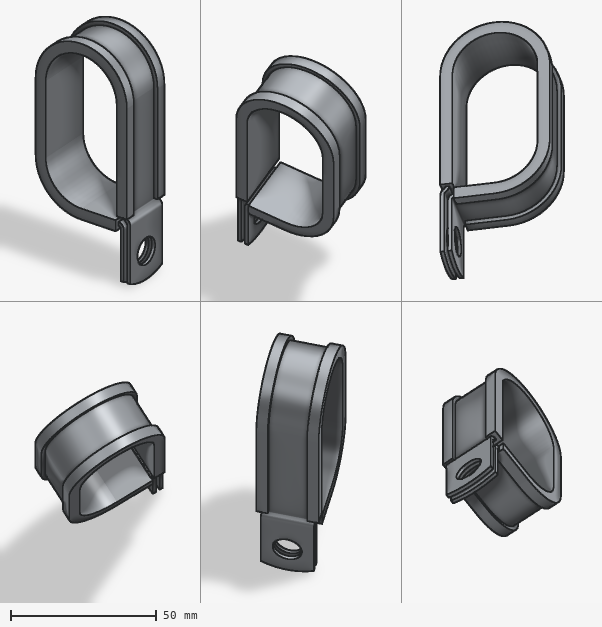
import cadquery as cq
import math

total_height = 90.7
loop_width = 38.75
loop_depth = 22.1
loop_bottom = 22.0
liner_thickness = 4.4
right_leg_end = 28.0
bottom_leg_end = 33.9

channel_width = 14.0
channel_depth = 1.5

strap_thickness = 1.4
strap_width = 18.9
outer_tab_face = 39.0
inner_tab_face = 36.3
embed_length = 2.7
outer_bend_radius = 2.4
jog_top = 27.7
tip_height = 2.1
hole_diameter = 10.3
hole_height = 11.1

loop_radius = loop_width / 2
upper_center_z = total_height - loop_radius
lower_center_z = loop_bottom + loop_radius
strap_face_x = loop_width - channel_depth
strap_face_z = loop_bottom + channel_depth
inner_bend_radius = outer_bend_radius - strap_thickness


def loop_face(inset):
    """Filled loop outline moved inward, open towards the lower right corner."""
    radius = loop_radius - inset
    left = inset
    right = loop_width - inset
    bottom = loop_bottom + inset
    arc_reach = radius * math.sqrt(0.5)
    return (
        cq.Workplane("XZ")
        .moveTo(right, bottom)
        .lineTo(right, upper_center_z)
        .threePointArc((loop_radius, upper_center_z + radius), (left, upper_center_z))
        .lineTo(left, lower_center_z)
        .threePointArc(
            (loop_radius - arc_reach, lower_center_z - arc_reach), (loop_radius, bottom)
        )
        .close()
    )


def loop_band(outer_inset, depth):
    """Liner band between an outer inset and the loop's inner wall."""
    outside = loop_face(outer_inset).extrude(depth / 2, both=True)
    inside = loop_face(liner_thickness).extrude(depth / 2, both=True)
    return outside.cut(inside)


def corner_opening():
    """Gap separating the ends of the right and bottom legs."""
    return (
        cq.Workplane("XZ")
        .moveTo(bottom_leg_end, loop_bottom)
        .lineTo(loop_width, loop_bottom)
        .lineTo(loop_width, right_leg_end)
        .lineTo(bottom_leg_end, right_leg_end)
        .close()
        .extrude(loop_depth / 2, both=True)
    )


def liner():
    channel = loop_band(0, channel_width).cut(loop_band(channel_depth, channel_width))
    return loop_band(0, loop_depth).cut(channel).cut(corner_opening())


def outer_tab():
    """Tab below the right leg, stepped outward by a 45 degree jog."""
    step = outer_tab_face - strap_face_x
    miter = strap_thickness * math.tan(math.radians(22.5))
    jog_bottom = jog_top - step
    leg_top = right_leg_end + embed_length
    strap_back_x = strap_face_x - strap_thickness
    tab_back_x = outer_tab_face - strap_thickness
    front_points = [
        (strap_face_x, leg_top),
        (strap_face_x, jog_top),
        (outer_tab_face, jog_bottom),
        (outer_tab_face, 0),
    ]
    back_points = [
        (tab_back_x, 0),
        (tab_back_x, jog_bottom - miter),
        (strap_back_x, jog_top - miter),
        (strap_back_x, leg_top),
    ]
    tab = (
        cq.Workplane("XZ")
        .polyline(front_points + back_points)
        .close()
        .extrude(strap_width / 2, both=True)
    )
    convex_corners = [(outer_tab_face, jog_bottom), (strap_back_x, jog_top - miter)]
    concave_corners = [(strap_face_x, jog_top), (tab_back_x, jog_bottom - miter)]
    for corners, radius in (
        (convex_corners, outer_bend_radius),
        (concave_corners, inner_bend_radius),
    ):
        for x, z in corners:
            corner_edge = cq.selectors.NearestToPointSelector((x, 0, z))
            tab = tab.edges("|Y").edges(corner_edge).fillet(radius)
    return tab



def inner_tab():
    """Tab at the end of the bottom leg, bent down through a rounded quarter turn."""
    top = strap_face_z + strap_thickness
    bend_x = inner_tab_face - outer_bend_radius
    bend_z = top - outer_bend_radius
    diagonal = math.sqrt(0.5)
    start_x = bottom_leg_end - embed_length
    return (
        cq.Workplane("XZ")
        .moveTo(start_x, top)
        .lineTo(bend_x, top)
        .threePointArc(
            (bend_x + outer_bend_radius * diagonal, bend_z + outer_bend_radius * diagonal),
            (inner_tab_face, bend_z),
        )
        .lineTo(inner_tab_face, 0)
        .lineTo(inner_tab_face - strap_thickness, 0)
        .lineTo(inner_tab_face - strap_thickness, bend_z)
        .threePointArc(
            (bend_x + inner_bend_radius * diagonal, bend_z + inner_bend_radius * diagonal),
            (bend_x, strap_face_z),
        )
        .lineTo(start_x, strap_face_z)
        .close()
        .extrude(strap_width / 2, both=True)
    )


def tip_trim():
    """Material outside the curved lower edge shared by both tabs."""
    half_width = strap_width / 2
    return (
        cq.Workplane("YZ")
        .moveTo(-half_width, tip_height)
        .threePointArc((0, 0), (half_width, tip_height))
        .lineTo(half_width, -tip_height)
        .lineTo(-half_width, -tip_height)
        .close()
        .extrude(outer_tab_face)
    )


def bolt_hole():
    return (
        cq.Workplane("YZ")
        .center(0, hole_height)
        .circle(hole_diameter / 2)
        .extrude(outer_tab_face)
    )


tabs = outer_tab().union(inner_tab()).cut(tip_trim()).cut(bolt_hole())
result = liner().union(tabs)